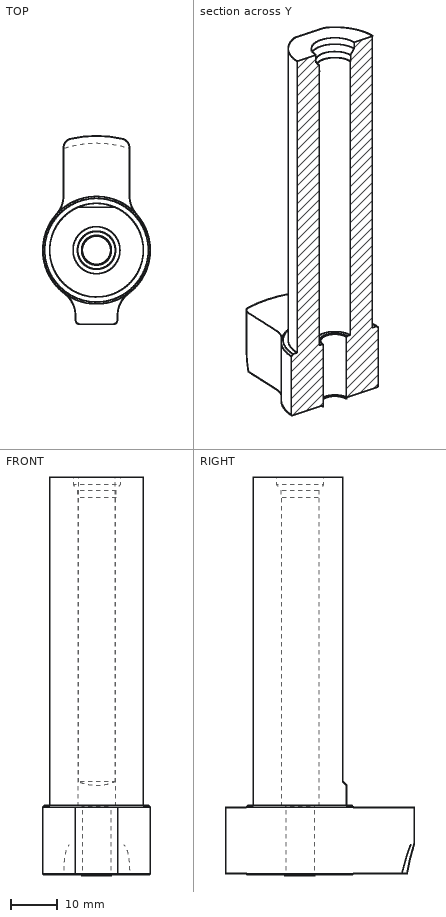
import cadquery as cq
import math

total_height = 85.0
nub_height = 0.25
wing_bottom = 0.5
wing_top = 14.6
collar_top = 15.05

shaft_diameter = 20.0
flat_distance = 9.2
flat_bottom = 20.15

collar_diameter = 22.95
collar_radius = collar_diameter / 2
collar_bottom_chamfer = 0.25
blend_radius = 5.95

handle_reach = 24.4
handle_half_width = 7.05
handle_corner_radius = 2.0
handle_bevel_height = 6.8
handle_bevel_depth = 1.5

lug_reach = 15.8
lug_half_width = 4.5
lug_corner_radius = 1.0

mouth_diameter = 10.0
mouth_depth = 1.5
cone_end_diameter = 8.2
cone_end_depth = 2.8
guide_end_depth = 4.25
core_diameter = 8.0
core_floor = collar_top
seat_diameter = 6.4
through_diameter = 6.0
nub_diameter = 6.4


def cylinder(diameter, bottom, top):
    return cq.Workplane("XY").workplane(offset=bottom).circle(diameter / 2).extrude(top - bottom)


def wing_blank(half_width, end_y):
    """Straight wing with concave blends tangent to its sides and to the collar."""
    side = math.copysign(1, end_y)
    center_x = half_width + blend_radius
    center_distance = collar_radius + blend_radius
    center_y = math.sqrt(center_distance**2 - center_x**2)
    touch_x = center_x * collar_radius / center_distance
    touch_y = center_y * collar_radius / center_distance
    middle_angle = math.pi + math.atan2(center_y, center_x) / 2
    middle_x = center_x + blend_radius * math.cos(middle_angle)
    middle_y = center_y + blend_radius * math.sin(middle_angle)
    return (
        cq.Workplane("XY")
        .workplane(offset=wing_bottom)
        .moveTo(-touch_x, side * touch_y)
        .threePointArc((-middle_x, side * middle_y), (-half_width, side * center_y))
        .lineTo(-half_width, end_y)
        .lineTo(half_width, end_y)
        .lineTo(half_width, side * center_y)
        .threePointArc((middle_x, side * middle_y), (touch_x, side * touch_y))
        .lineTo(0, 0)
        .close()
        .extrude(wing_top - wing_bottom)
    )


def make_handle():
    """Large wing with a crowned end, rounded corners and a conical bevel under the tip."""
    crown = cylinder(2 * handle_reach, wing_bottom, wing_top)
    handle = wing_blank(handle_half_width, handle_reach).intersect(crown)
    handle = handle.faces(">Y").edges("|Z").fillet(handle_corner_radius)
    bevel_cone = (
        cq.Workplane("XZ")
        .moveTo(0, wing_bottom)
        .lineTo(handle_reach - handle_bevel_depth, wing_bottom)
        .lineTo(handle_reach, handle_bevel_height)
        .lineTo(handle_reach, wing_top)
        .lineTo(0, wing_top)
        .close()
        .revolve(360, (0, 0), (0, 1))
    )
    return handle.intersect(bevel_cone)


def make_lug():
    lug = wing_blank(lug_half_width, -lug_reach)
    return lug.faces("<Y").edges("|Z").fillet(lug_corner_radius)


def make_collar():
    collar = cylinder(collar_diameter, nub_height, collar_top)
    top_chamfer = collar_top - wing_top
    return collar.faces(">Z").chamfer(top_chamfer).faces("<Z").chamfer(collar_bottom_chamfer)


def make_shaft():
    shaft = cylinder(shaft_diameter, collar_top, total_height)
    shaft_radius = shaft_diameter / 2
    flat_depth = shaft_radius - flat_distance
    flat = (
        cq.Workplane("YZ")
        .moveTo(flat_distance, total_height)
        .lineTo(flat_distance, flat_bottom)
        .lineTo(shaft_radius, flat_bottom - flat_depth)
        .lineTo(shaft_radius, total_height)
        .close()
        .extrude(shaft_radius, both=True)
    )
    return shaft.cut(flat)


def make_bore():
    seat_depth = (seat_diameter - through_diameter) / 2
    profile = [
        (0, total_height),
        (mouth_diameter / 2, total_height),
        (mouth_diameter / 2, total_height - mouth_depth),
        (cone_end_diameter / 2, total_height - cone_end_depth),
        (cone_end_diameter / 2, total_height - guide_end_depth),
        (core_diameter / 2, total_height - guide_end_depth),
        (core_diameter / 2, core_floor),
        (seat_diameter / 2, core_floor),
        (through_diameter / 2, core_floor - seat_depth),
        (through_diameter / 2, 0),
        (0, 0),
    ]
    return cq.Workplane("XZ").polyline(profile).close().revolve(360, (0, 0), (0, 1))


body = make_collar().union(make_handle()).union(make_lug()).union(make_shaft())
body = body.union(cylinder(nub_diameter, 0, collar_top))
result = body.cut(make_bore())